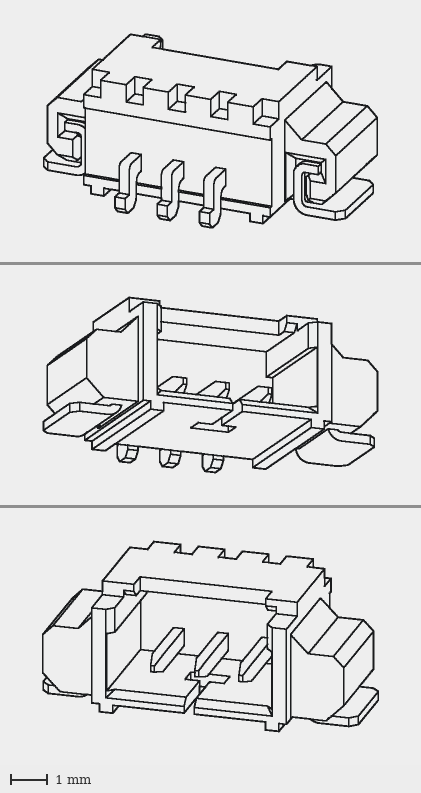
import cadquery as cq


housing_half_width = 2.75
housing_depth = 4.2
housing_bottom = 0.23
housing_top = 3.4
wall_top = 3.0
roof_front = 3.19
foot_inner, foot_outer = 2.15, 2.54

recess_depth = 0.11
recess_bottom, recess_top = 0.51, 2.5

pitch = 1.25
notch_width, notch_depth, notch_height = 0.5, 0.6, 0.51

cavity_half_width = 2.15
cavity_floor = 0.62
cavity_back = 1.0
mouth_bevel = 0.2
roof_cut_half_width = 1.86
roof_cut_back = 2.61
side_recess_depth = 0.18
side_recess_top = 2.29
slot_width = 0.285
slot_head_width = 1.1
slot_head_back, slot_head_front = 2.2, 2.74

pin_width = 0.3
pin_bottom, pin_top = 0.88, 1.37
pin_taper_start, pin_tip = 3.0, 3.49
pin_tip_width, pin_tip_height = 0.11, 0.18
leg_inner, leg_outer, leg_end = -0.22, -0.7, -1.0
leg_foot_height = 0.51
leg_foot_chamfer = 0.19
leg_inner_radius, leg_outer_radius = 0.2, 0.14

wing_rear, wing_front = 1.0, 3.82
wing_half_width = 4.25
wing_bottom, wing_top = 0.3, 2.2
wing_top_chamfer = 0.29
wing_gusset = 0.5
wing_side_bottom = 0.8
flare_depth = 0.2
flare_growth = 0.21
pocket_wall = 2.99
pocket_outer = 3.74
pocket_top, pocket_ledge = 1.53, 1.25
lip_face = 3.29

tab_thickness = 0.25
tab_front = 3.3
tab_half_span = 4.45
tab_leg = 3.01
tab_top = 1.5
tab_foot_chamfer = 0.205
upper_bend_radius, lower_bend_radius = 0.1, 0.15


def block(x0, x1, y0, y1, z0, z1):
    """Box given by its limits along each axis."""
    return cq.Workplane("XY").box(x1 - x0, y1 - y0, z1 - z0, centered=False).translate((x0, y0, z0))


def centred_block(half_width, y0, y1, z0, z1):
    return block(-half_width, half_width, y0, y1, z0, z1)


def plane_at(y):
    """XZ sketch plane at the given Y whose normal points toward +Y; sketch x is mirrored."""
    return cq.Workplane(cq.Plane(origin=(0, y, 0), xDir=(-1, 0, 0), normal=(0, 1, 0)))


def both_sides(shape):
    return shape.union(shape.mirror("YZ"))


def cavity():
    """Mating cavity with its bevelled mouth, roof cut-out, side recesses and floor slot."""
    height = wall_top - cavity_floor
    middle = (wall_top + cavity_floor) / 2
    body = centred_block(cavity_half_width, cavity_back, housing_depth, cavity_floor, wall_top)
    mouth = (
        plane_at(housing_depth - mouth_bevel)
        .center(0, middle)
        .rect(2 * cavity_half_width, height)
        .workplane(offset=mouth_bevel)
        .rect(2 * (cavity_half_width + mouth_bevel), height + 2 * mouth_bevel)
        .loft(ruled=True)
    )
    roof_bevel = (
        cq.Workplane("YZ")
        .polyline([
            (roof_front - mouth_bevel, wall_top),
            (roof_front, wall_top),
            (roof_front, wall_top + mouth_bevel),
        ])
        .close()
        .extrude(cavity_half_width, both=True)
    )
    roof_cut = centred_block(roof_cut_half_width, roof_cut_back, roof_front, wall_top, housing_top)
    side_recess = centred_block(
        cavity_half_width + side_recess_depth, cavity_back, housing_depth, cavity_floor, side_recess_top
    )
    slot = centred_block(slot_width / 2, slot_head_front, housing_depth, 0, cavity_floor)
    slot_head = centred_block(slot_head_width / 2, slot_head_back, slot_head_front, 0, cavity_floor)
    cut = body
    for part in (mouth, roof_bevel, roof_cut, side_recess, slot, slot_head):
        cut = cut.union(part)
    return cut


def housing():
    body = centred_block(housing_half_width, 0, housing_depth, housing_bottom, wall_top)
    body = body.union(centred_block(housing_half_width, 0, roof_front, wall_top, housing_top))
    body = body.union(both_sides(block(foot_inner, foot_outer, 0, housing_depth, 0, housing_bottom)))
    body = body.cut(centred_block(housing_half_width, 0, recess_depth, recess_bottom, recess_top))

    notch_z = housing_top - notch_height
    for i in (-1, 0, 1):
        x = i * pitch
        body = body.cut(
            block(x - notch_width / 2, x + notch_width / 2, 0, notch_depth, notch_z, housing_top)
        )
    corner_x = housing_half_width - notch_width
    corner_notch = block(corner_x, housing_half_width, 0, notch_depth, notch_z, housing_top)
    return body.cut(both_sides(corner_notch)).cut(cavity())


def pin(x):
    """Flat pin: tapered contact inside the cavity and a bent solder leg outside."""
    outline = (
        cq.Workplane("YZ", origin=(x - pin_width / 2, 0, 0))
        .moveTo(pin_taper_start, pin_bottom)
        .lineTo(leg_inner + leg_inner_radius, pin_bottom)
        .radiusArc((leg_inner, pin_bottom - leg_inner_radius), -leg_inner_radius)
        .lineTo(leg_inner, leg_foot_chamfer)
        .lineTo(leg_inner - leg_foot_chamfer, 0)
        .lineTo(leg_end + leg_foot_chamfer, 0)
        .lineTo(leg_end, leg_foot_chamfer)
        .lineTo(leg_end, leg_foot_height)
        .lineTo(leg_outer, leg_foot_height)
        .lineTo(leg_outer, pin_top - leg_outer_radius)
        .radiusArc((leg_outer + leg_outer_radius, pin_top), leg_outer_radius)
        .lineTo(pin_taper_start, pin_top)
        .close()
        .extrude(pin_width)
    )
    tip = (
        plane_at(pin_taper_start)
        .center(-x, (pin_bottom + pin_top) / 2)
        .rect(pin_width, pin_top - pin_bottom)
        .workplane(offset=pin_tip - pin_taper_start)
        .rect(pin_tip_width, pin_tip_height)
        .loft(ruled=True)
    )
    return outline.union(tip)


def pocket_outline(growth):
    """Outline of the wing's pocket and the space under its lip, widened by growth on every face."""
    beyond = wing_half_width + flare_growth
    return [
        (-x, z) for x, z in [
            (pocket_wall - growth, 0),
            (pocket_wall - growth, pocket_top + growth),
            (pocket_outer + growth, pocket_top + growth),
            (pocket_outer + growth, pocket_ledge - growth),
            (lip_face + growth, pocket_ledge - growth),
            (lip_face + growth, wing_bottom + growth),
            (beyond, wing_bottom + growth),
            (beyond, 0),
        ]
    ]


def corner_relief(x, z, x_side, z_side):
    """Triangular prism that cuts off the corner at (x, z); the signs point into the material."""
    return (
        plane_at(wing_rear)
        .polyline([(-x, z), (-x, z + z_side * flare_growth), (-(x + x_side * flare_growth), z)])
        .close()
        .extrude(flare_depth)
    )


def wing():
    """Right-hand wing with its flared tab pocket."""
    body = (
        plane_at(wing_rear)
        .polyline([
            (-x, z) for x, z in [
                (housing_half_width, wing_bottom),
                (housing_half_width, wing_top + wing_gusset),
                (housing_half_width + wing_gusset, wing_top),
                (wing_half_width - wing_top_chamfer, wing_top),
                (wing_half_width, wing_top - wing_top_chamfer),
                (wing_half_width, wing_side_bottom),
                (wing_half_width - (wing_side_bottom - wing_bottom), wing_bottom),
            ]
        ])
        .close()
        .extrude(wing_front - wing_rear)
    )
    flare = (
        plane_at(wing_rear)
        .polyline(pocket_outline(flare_growth))
        .close()
        .workplane(offset=flare_depth)
        .polyline(pocket_outline(0))
        .close()
        .loft(ruled=True)
    )
    body = body.cut(flare)
    for x, z, x_side, z_side in (
        (pocket_wall, wing_bottom, -1, 1),
        (lip_face, wing_bottom, 1, 1),
        (lip_face, pocket_ledge, 1, -1),
    ):
        body = body.cut(corner_relief(x, z, x_side, z_side))
    return body


def tab():
    """Right-hand solder tab: S-shaped strip with a chamfered foot."""
    leg_out = tab_leg + tab_thickness
    upper_outer = upper_bend_radius + tab_thickness
    lower_outer = lower_bend_radius + tab_thickness
    arm_bottom = tab_top - tab_thickness
    strip = (
        cq.Workplane("XZ", origin=(0, wing_rear, 0))
        .moveTo(pocket_outer, tab_top)
        .lineTo(tab_leg + upper_outer, tab_top)
        .radiusArc((tab_leg, tab_top - upper_outer), -upper_outer)
        .lineTo(tab_leg, lower_outer)
        .radiusArc((tab_leg + lower_outer, 0), -lower_outer)
        .lineTo(tab_half_span, 0)
        .lineTo(tab_half_span, tab_thickness)
        .lineTo(leg_out + lower_bend_radius, tab_thickness)
        .radiusArc((leg_out, tab_thickness + lower_bend_radius), lower_bend_radius)
        .lineTo(leg_out, arm_bottom - upper_bend_radius)
        .radiusArc((leg_out + upper_bend_radius, arm_bottom), upper_bend_radius)
        .lineTo(pocket_outer, arm_bottom)
        .close()
        .extrude(wing_rear - tab_front)
    )
    return strip.faces(">X").edges("|Z").chamfer(tab_foot_chamfer)


result = housing().union(both_sides(wing().union(tab())))
for position in (-1, 0, 1):
    result = result.union(pin(position * pitch))